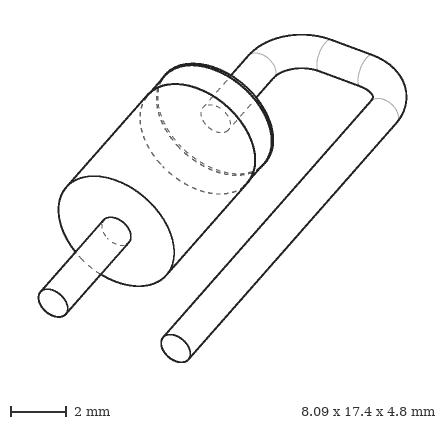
import cadquery as cq

lead_diameter = 1.22
lead_pitch = 5.08
total_length = 17.4
bend_radius = 1.69
barrel_diameter = 4.8
band_diameter = 4.77
body_length = 7.2
body_start = 4.6
band_width = 1.2
end_rim_width = 0.1

crown_y = total_length - lead_diameter / 2
bend_start_y = crown_y - bend_radius
bend_mid_offset = bend_radius * 0.5 ** 0.5


def cylinder_along_y(diameter, start_y, length):
    """Solid cylinder on the Y axis, running toward +Y from start_y."""
    plane = cq.Plane(origin=(0, start_y, 0), xDir=(1, 0, 0), normal=(0, 1, 0))
    return cq.Workplane(plane).circle(diameter / 2).extrude(length)


def make_body():
    """Body barrel with a slightly recessed cathode band near its far end."""
    barrel = cylinder_along_y(barrel_diameter, body_start, body_length)
    band_start = body_start + body_length - end_rim_width - band_width
    band_ring = cylinder_along_y(barrel_diameter, band_start, band_width).cut(
        cylinder_along_y(band_diameter, band_start, band_width)
    )
    return barrel.cut(band_ring)


def make_lead():
    """Round wire that passes through the body and bends back beside it."""
    left_bend_x = bend_radius
    right_bend_x = lead_pitch - bend_radius
    bend_mid_y = bend_start_y + bend_mid_offset
    path = (
        cq.Workplane("XY")
        .lineTo(0, bend_start_y)
        .threePointArc((left_bend_x - bend_mid_offset, bend_mid_y), (left_bend_x, crown_y))
        .lineTo(right_bend_x, crown_y)
        .threePointArc((right_bend_x + bend_mid_offset, bend_mid_y), (lead_pitch, bend_start_y))
        .lineTo(lead_pitch, 0)
    )
    return cq.Workplane("XZ").circle(lead_diameter / 2).sweep(path)


result = make_body().union(make_lead())